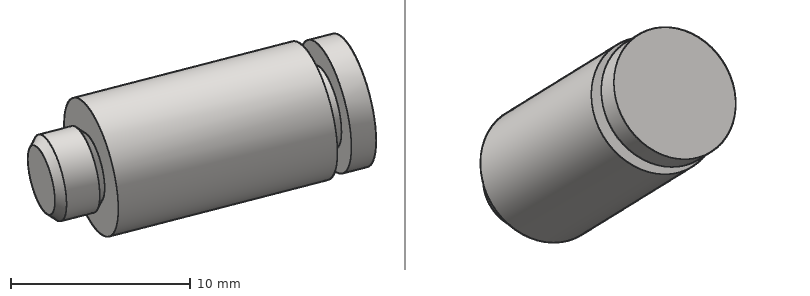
import cadquery as cq

BODY_DIAMETER = 8.0
HEAD_DIAMETER = 7.7
GROOVE_DIAMETER = 4.8
PIN_DIAMETER = 5.0

PIN_LENGTH = 3.0
BODY_LENGTH = 13.2
GROOVE_WIDTH = 0.9
HEAD_THICKNESS = 1.5

PIN_CHAMFER = 0.5

PIN_START = -PIN_LENGTH
BODY_START = 0.0
GROOVE_START = BODY_START + BODY_LENGTH
HEAD_START = GROOVE_START + GROOVE_WIDTH


def cylinder_along_y(diameter, start, length):
    """Cylinder on the Y axis, running from start toward +Y."""
    plane = cq.Plane(origin=(0, start, 0), xDir=(1, 0, 0), normal=(0, 1, 0))
    return cq.Workplane(plane).circle(diameter / 2).extrude(length)


def make_pin():
    """Front pin, chamfered at its tip and where it meets the body."""
    pin = cylinder_along_y(PIN_DIAMETER, PIN_START, PIN_LENGTH)
    return pin.faces("<Y or >Y").edges().chamfer(PIN_CHAMFER)


body = cylinder_along_y(BODY_DIAMETER, BODY_START, BODY_LENGTH)
groove_core = cylinder_along_y(GROOVE_DIAMETER, GROOVE_START, GROOVE_WIDTH)
head = cylinder_along_y(HEAD_DIAMETER, HEAD_START, HEAD_THICKNESS)

result = body.union(make_pin()).union(groove_core).union(head)